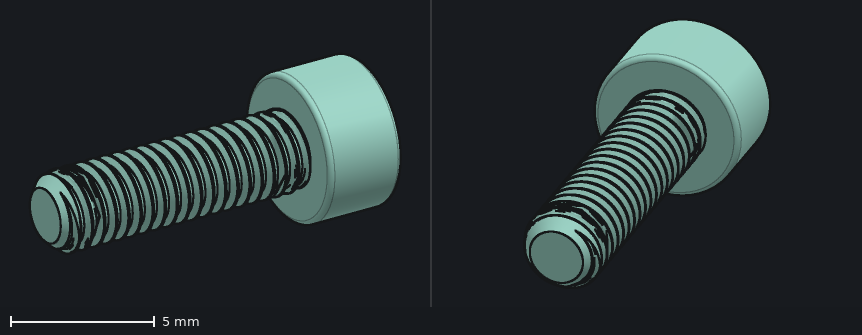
import cadquery as cq
import math

total_length = 13.0
head_diameter = 5.5
head_height = 3.0
head_edge_radius = 0.2

thread_radius = 1.5
root_radius = 1.24
turns_along_shank = 20
crest_width = 0.06
flank_angle = 30.0
tip_radius = 1.0

shank_length = total_length - head_height
pitch = shank_length / turns_along_shank
head_embed = pitch / 4
end_surplus = 2 * pitch
cutter_radius = 2 * thread_radius
ridge_overlap = 0.05


def make_head():
    """Round head with both rims rounded."""
    return (
        cq.Workplane("XY")
        .workplane(offset=shank_length)
        .circle(head_diameter / 2)
        .extrude(head_height)
        .edges()
        .fillet(head_edge_radius)
    )


def make_core():
    """Plain cylinder at the thread root, longer than the ridge at both ends."""
    return (
        cq.Workplane("XY")
        .workplane(offset=-end_surplus)
        .circle(root_radius)
        .extrude(shank_length + 2 * end_surplus)
    )


def make_ridge():
    """Helical thread ridge, from one pitch below the tip into the head."""
    inner_radius = root_radius - ridge_overlap
    crest_half = crest_width / 2
    base_half = crest_half + (thread_radius - inner_radius) * math.tan(math.radians(flank_angle))
    helix = cq.Wire.makeHelix(pitch, shank_length + 2 * pitch, root_radius)
    ridge = (
        cq.Workplane("XZ")
        .moveTo(inner_radius, -base_half)
        .lineTo(thread_radius, -crest_half)
        .lineTo(thread_radius, crest_half)
        .lineTo(inner_radius, base_half)
        .close()
        .sweep(cq.Workplane(obj=helix), isFrenet=True)
    )
    return ridge.translate((0, 0, -pitch))


def make_tip_cutter():
    """Everything outside the 45 degree tip cone and below the tip face."""
    return (
        cq.Workplane("XZ")
        .moveTo(0, 0)
        .lineTo(tip_radius, 0)
        .lineTo(cutter_radius, cutter_radius - tip_radius)
        .lineTo(cutter_radius, -2 * end_surplus)
        .lineTo(0, -2 * end_surplus)
        .close()
        .revolve(360, (0, 0, 0), (0, 1, 0))
    )


def make_end_cutter():
    """Disc that removes the surplus core and ridge inside the head."""
    return (
        cq.Workplane("XY")
        .workplane(offset=shank_length + head_embed)
        .circle(cutter_radius)
        .extrude(2 * end_surplus)
    )


shank = make_core().union(make_ridge()).cut(make_tip_cutter()).cut(make_end_cutter())
screw = shank.union(make_head()).solids()

result = screw.rotate((0, 0, 0), (1, 0, 0), -90)